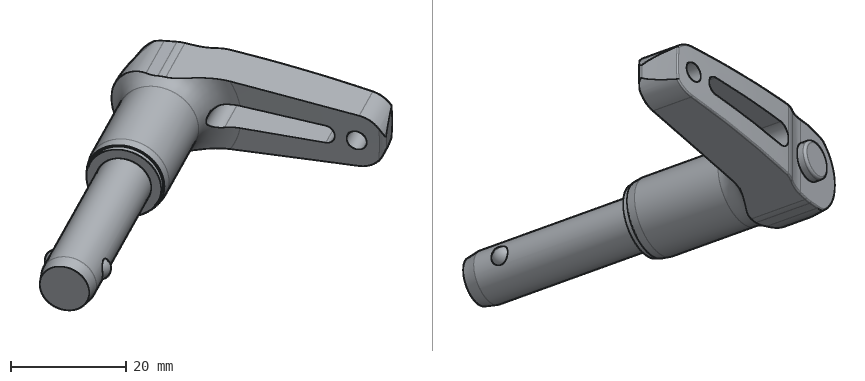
import cadquery as cq
import math


PIN_RADIUS = 5.0
PIN_LENGTH = 34.7
PIN_TAPER_LENGTH = 2.5
PIN_END_RADIUS = 4.5

BALL_RADIUS = 2.0
BALL_REACH = 5.95
BALL_Y = -26.8

COLLAR_RADIUS = 7.35
LIP_RADIUS = 6.8
LIP_HEIGHT = 1.0
TAPER_RADIUS = 7.1
TAPER_TOP = 2.7
COLLAR_TOP = 20.0
FLARE_RADIUS = 5.7

BUTTON_RADIUS = 3.6
BUTTON_TOP = 35.7
BUTTON_ROUND = 0.5

HUB_RADIUS = 7.91
REAR_RADIUS = 7.66
REAR_END = -10.0
TIP_RADIUS = 5.26
TIP_END = 39.9

HEAD_TOP = 33.92
CREST_X = 8.0
CREST_TOP = 35.08
RISE_START_X = 2.4
RISE_RADIUS = 10.0
RISE_ANGLE = math.radians(22)
ARM_MID_X = 24.0
ARM_MID_TOP = 34.22
ARM_END_TOP = 32.07
TIP_DRAFT = math.radians(8)
UNDERSIDE_SLOPE = math.radians(2.7)
TIP_ROUND = 0.9
TOP_EDGE_ROUND = 0.3

RELIEF_TOP_RADIUS = 8.7
RELIEF_BOTTOM_RADIUS = 9.97
RELIEF_BOTTOM = 24.5

SLOT_NEAR_END = 7.95
SLOT_NEAR_RADIUS = 2.4
SLOT_FAR_END = 30.6
SLOT_FAR_RADIUS = 1.77
HOLE_RADIUS = 1.85

REAR_X = REAR_END + REAR_RADIUS
TIP_X = TIP_END - TIP_RADIUS
BALL_X = BALL_REACH - BALL_RADIUS
CLEARANCE = 5.0
ENVELOPE_TOP = CREST_TOP + CLEARANCE
ENVELOPE_HEIGHT = ENVELOPE_TOP - COLLAR_TOP
HALF_WIDTH = HUB_RADIUS + CLEARANCE


def revolve_about_pin_axis(profile):
    return profile.close().revolve(360, (0, 0, 0), (0, 1, 0))


def handle_height_sketch():
    """Plane at the top of the collar; positive extrusion runs up through the handle (+Y)."""
    return cq.Workplane(cq.Plane(origin=(0, COLLAR_TOP, 0), xDir=(1, 0, 0), normal=(0, 1, 0)))


def tangent_hull(x_a, radius_a, x_b, radius_b):
    """Prism through the handle around two circles on the X axis and their tangents (x_a < x_b)."""
    sine = (radius_a - radius_b) / (x_b - x_a)
    cosine = math.sqrt(1 - sine ** 2)
    point_a = (x_a + radius_a * sine, radius_a * cosine)
    point_b = (x_b + radius_b * sine, radius_b * cosine)
    return (
        handle_height_sketch()
        .moveTo(point_a[0], -point_a[1])
        .threePointArc((x_a - radius_a, 0), point_a)
        .lineTo(*point_b)
        .threePointArc((x_b + radius_b, 0), (point_b[0], -point_b[1]))
        .close()
        .extrude(ENVELOPE_HEIGHT)
    )


def make_pin_and_collar():
    profile = (
        cq.Workplane("XY")
        .moveTo(0, -PIN_LENGTH)
        .lineTo(PIN_END_RADIUS, -PIN_LENGTH)
        .lineTo(PIN_RADIUS, PIN_TAPER_LENGTH - PIN_LENGTH)
        .lineTo(PIN_RADIUS, 0)
        .lineTo(LIP_RADIUS, 0)
        .lineTo(LIP_RADIUS, LIP_HEIGHT)
        .lineTo(TAPER_RADIUS, LIP_HEIGHT)
        .lineTo(COLLAR_RADIUS, TAPER_TOP)
        .lineTo(COLLAR_RADIUS, COLLAR_TOP)
        .lineTo(0, COLLAR_TOP)
    )
    return revolve_about_pin_axis(profile)


def make_balls():
    centres = [(-BALL_X, BALL_Y), (BALL_X, BALL_Y)]
    return cq.Workplane("XY").pushPoints(centres).sphere(BALL_RADIUS)


def make_button():
    return (
        handle_height_sketch()
        .circle(BUTTON_RADIUS)
        .extrude(BUTTON_TOP - COLLAR_TOP)
        .faces(">Y")
        .edges()
        .fillet(BUTTON_ROUND)
    )


def make_handle_outline():
    """Plan shape of the handle: hub drawn out to the rear and tapered to the tip."""
    rear = tangent_hull(REAR_X, REAR_RADIUS, 0, HUB_RADIUS)
    arm = tangent_hull(0, HUB_RADIUS, TIP_X, TIP_RADIUS)
    return rear.union(arm)


def make_turned_envelope():
    """Revolved body giving the flare, the sloping underside and the drafted, rounded tip."""

    def flare_point(angle):
        return (
            COLLAR_RADIUS + FLARE_RADIUS * (1 - math.cos(angle)),
            COLLAR_TOP + FLARE_RADIUS * math.sin(angle),
        )

    flare_sweep = math.pi / 2 + UNDERSIDE_SLOPE
    flare_end = flare_point(flare_sweep)
    tip_bottom = flare_end[1] - (TIP_END - flare_end[0]) * math.tan(UNDERSIDE_SLOPE)
    tip_top_radius = TIP_END - (ENVELOPE_TOP - tip_bottom) * math.tan(TIP_DRAFT)
    envelope = revolve_about_pin_axis(
        cq.Workplane("XY")
        .moveTo(0, COLLAR_TOP)
        .lineTo(COLLAR_RADIUS, COLLAR_TOP)
        .threePointArc(flare_point(flare_sweep / 2), flare_end)
        .lineTo(TIP_END, tip_bottom)
        .lineTo(tip_top_radius, ENVELOPE_TOP)
        .lineTo(0, ENVELOPE_TOP)
    )
    tip_corner = envelope.edges(cq.selectors.RadiusNthSelector(-1))
    return tip_corner.fillet(TIP_ROUND)


def make_top_profile():
    """Side profile of the handle's top, extruded across its full width."""

    def rise_point(angle):
        return (
            RISE_START_X + RISE_RADIUS * math.sin(angle),
            HEAD_TOP + RISE_RADIUS * (1 - math.cos(angle)),
        )

    left = REAR_END - CLEARANCE
    return (
        cq.Workplane("XY")
        .moveTo(left, COLLAR_TOP)
        .lineTo(left, HEAD_TOP)
        .lineTo(RISE_START_X, HEAD_TOP)
        .threePointArc(rise_point(RISE_ANGLE / 2), rise_point(RISE_ANGLE))
        .tangentArcPoint((CREST_X, CREST_TOP), relative=False)
        .threePointArc((ARM_MID_X, ARM_MID_TOP), (TIP_END, ARM_END_TOP))
        .lineTo(TIP_END, COLLAR_TOP)
        .close()
        .extrude(HALF_WIDTH, both=True)
    )


def make_relief_cutter():
    """Everything outside a cone about the pin axis, behind the hub."""
    slope = (RELIEF_BOTTOM_RADIUS - RELIEF_TOP_RADIUS) / (HEAD_TOP - RELIEF_BOTTOM)

    def cone_radius(y):
        return RELIEF_BOTTOM_RADIUS - slope * (y - RELIEF_BOTTOM)

    cone = revolve_about_pin_axis(
        cq.Workplane("XY")
        .moveTo(0, COLLAR_TOP)
        .lineTo(cone_radius(COLLAR_TOP), COLLAR_TOP)
        .lineTo(cone_radius(ENVELOPE_TOP), ENVELOPE_TOP)
        .lineTo(0, ENVELOPE_TOP)
    )
    depth = CLEARANCE - REAR_END
    block = (
        handle_height_sketch()
        .center(-depth / 2, 0)
        .rect(depth, 2 * HALF_WIDTH)
        .extrude(ENVELOPE_HEIGHT)
    )
    return block.cut(cone)


def round_top_edges(handle):
    """Round the rim of the top face; the Z-parallel lines crossing that face stay as they are."""
    above_arm_end = cq.selectors.BoxSelector(
        (REAR_END, ARM_END_TOP, -HALF_WIDTH),
        (TIP_END, ENVELOPE_TOP, HALF_WIDTH),
        boundingbox=True,
    )
    across = cq.selectors.ParallelDirSelector(cq.Vector(0, 0, 1))
    return handle.edges(above_arm_end - across).fillet(TOP_EDGE_ROUND)


def make_arm_openings():
    slot = tangent_hull(
        SLOT_NEAR_END + SLOT_NEAR_RADIUS,
        SLOT_NEAR_RADIUS,
        SLOT_FAR_END - SLOT_FAR_RADIUS,
        SLOT_FAR_RADIUS,
    )
    hole = handle_height_sketch().center(TIP_X, 0).circle(HOLE_RADIUS).extrude(ENVELOPE_HEIGHT)
    return slot.union(hole)


def make_handle():
    handle = (
        make_handle_outline()
        .intersect(make_turned_envelope())
        .cut(make_relief_cutter())
        .intersect(make_top_profile())
    )
    return round_top_edges(handle).cut(make_arm_openings())


result = (
    make_pin_and_collar()
    .union(make_handle())
    .union(make_button())
    .union(make_balls())
)